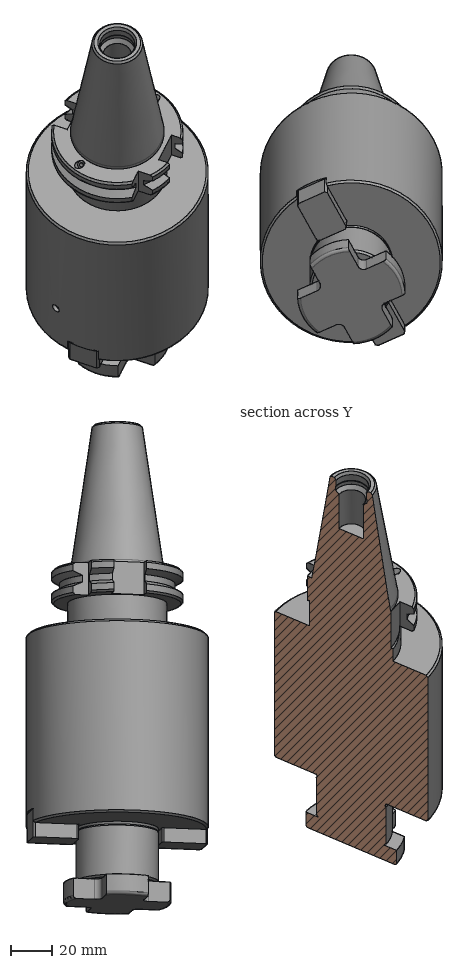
import cadquery as cq
import math


CUT_CLEARANCE = 1.0

TAPER_LENGTH = 68.4
GAUGE_RADIUS = 22.225
TAPER_RATIO = 7 / 24
TIP_RADIUS = GAUGE_RADIUS - TAPER_LENGTH * TAPER_RATIO / 2
TIP_CHAMFER = 1.0
TAPER_BASE_Z = -1.6
TAPER_BASE_RADIUS = GAUGE_RADIUS - TAPER_BASE_Z * TAPER_RATIO / 2
COLLAR_RADIUS = 22.7

FLANGE_TOP = -3.2
FLANGE_BOTTOM = -19.1
FLANGE_RADIUS = 31.775
FLANGE_CHAMFER = 1.0
GROOVE_Z = -11.1
GROOVE_RADIUS = 28.0
GROOVE_FLOOR_WIDTH = 3.2
GROOVE_FLANK_HEIGHT = (FLANGE_RADIUS - GROOVE_RADIUS) * math.tan(math.radians(30))
NECK_RADIUS = 24.0

SLOT_WIDTH = 16.1
SLOT_END_Z = -27.0
LEFT_SLOT_X = -22.8
RIGHT_SLOT_X = 25.0
NOTCH_X = 18.5
NOTCH_Y = -18.2

BODY_TOP = -35.0
BODY_BOTTOM = -130.0
BODY_RADIUS = 44.0
BODY_TOP_CHAMFER = 1.0
BODY_BOTTOM_CHAMFER = 1.0

PILOT_RADIUS = 20.0
PILOT_END = -157.0
PILOT_CHAMFER = 1.0
RELIEF_RADIUS = 19.5
RELIEF_FLOOR_DEPTH = 1.2
RELIEF_WIDTH = 1.9

KEY_WIDTH = 16.0
KEY_TOP = -123.0
KEY_BOTTOM = -137.0
KEY_INNER_Y = 20.5
KEY_OUTER_Y = 43.0
KEY_CHAMFER = 1.0

HEAD_BOTTOM = -167.0
HEAD_RADIUS = 26.0
HEAD_ROUNDING = 1.5
ARM_WIDTH = 20.6
ARM_CORNER_RADIUS = 3.0

BORE_RADIUS = 8.5
BORE_DEPTH = 5.2
BORE_MOUTH_RADIUS = 9.4
BORE_MOUTH_DEPTH = 1.5
UNDERCUT_RADIUS = 8.8
UNDERCUT_TOP_DEPTH = 5.9
UNDERCUT_BOTTOM_DEPTH = 8.0
THREAD_RADIUS = 6.9
THREAD_CONE_HEIGHT = UNDERCUT_RADIUS - THREAD_RADIUS
THREAD_DEPTH = 32.0

FLANGE_HOLE_RADIUS = 2.0
FLANGE_HOLE_TILT = 42
FLANGE_HOLE_CIRCLE = 27.0
FLANGE_HOLE_ANGLES = (70, 250)
BODY_HOLE_RADIUS = 2.15
BODY_HOLE_ANGLE = 250
BODY_HOLE_Z = -102.2
HOLE_MOUTH_DEPTH = 2.0
HOLE_CORE_RADIUS = 1.0
HOLE_CORE_DEPTH = 8.0


def revolve_profile(points):
    """Solid of revolution about Z from (radius, z) points."""
    profile = cq.Workplane("YZ").polyline(points).close()
    return profile.revolve(360, (0, 0, 0), (0, 1, 0))


def block(x_range, y_range, z_range):
    """Axis-aligned box given by its limits along each axis."""
    sizes = [high - low for low, high in (x_range, y_range, z_range)]
    corner = (x_range[0], y_range[0], z_range[0])
    return cq.Workplane("XY").box(*sizes, centered=False).translate(corner)


def make_turned_body():
    groove_top = GROOVE_Z + GROOVE_FLOOR_WIDTH / 2
    groove_bottom = GROOVE_Z - GROOVE_FLOOR_WIDTH / 2
    taper_and_flange = [
        (0, TAPER_LENGTH),
        (TIP_RADIUS - TIP_CHAMFER, TAPER_LENGTH),
        (TIP_RADIUS, TAPER_LENGTH - TIP_CHAMFER),
        (TAPER_BASE_RADIUS, TAPER_BASE_Z),
        (COLLAR_RADIUS, FLANGE_TOP),
        (FLANGE_RADIUS - FLANGE_CHAMFER, FLANGE_TOP),
        (FLANGE_RADIUS, FLANGE_TOP - FLANGE_CHAMFER),
        (FLANGE_RADIUS, groove_top + GROOVE_FLANK_HEIGHT),
        (GROOVE_RADIUS, groove_top),
        (GROOVE_RADIUS, groove_bottom),
        (FLANGE_RADIUS, groove_bottom - GROOVE_FLANK_HEIGHT),
        (FLANGE_RADIUS, FLANGE_BOTTOM + FLANGE_CHAMFER),
        (FLANGE_RADIUS - FLANGE_CHAMFER, FLANGE_BOTTOM),
        (NECK_RADIUS, FLANGE_BOTTOM),
    ]
    body_and_pilot = [
        (NECK_RADIUS, BODY_TOP),
        (BODY_RADIUS - BODY_TOP_CHAMFER, BODY_TOP),
        (BODY_RADIUS, BODY_TOP - BODY_TOP_CHAMFER),
        (BODY_RADIUS, BODY_BOTTOM + BODY_BOTTOM_CHAMFER),
        (BODY_RADIUS - BODY_BOTTOM_CHAMFER, BODY_BOTTOM),
        (PILOT_RADIUS, BODY_BOTTOM),
        (RELIEF_RADIUS, BODY_BOTTOM - RELIEF_FLOOR_DEPTH),
        (PILOT_RADIUS, BODY_BOTTOM - RELIEF_WIDTH),
        (PILOT_RADIUS, PILOT_END + PILOT_CHAMFER),
        (PILOT_RADIUS - PILOT_CHAMFER, PILOT_END),
        (0, PILOT_END),
    ]
    return revolve_profile(taper_and_flange + body_and_pilot)


def make_drive_slot(floor_x):
    """Round-ended slot cutter, from the floor at floor_x outward past the flange."""
    depth = FLANGE_RADIUS + CUT_CLEARANCE - abs(floor_x)
    half_width = SLOT_WIDTH / 2
    arc_z = SLOT_END_Z + half_width
    outline = (
        cq.Workplane("YZ", origin=(floor_x, 0, 0))
        .moveTo(-half_width, FLANGE_TOP)
        .lineTo(-half_width, arc_z)
        .threePointArc((0, SLOT_END_Z), (half_width, arc_z))
        .lineTo(half_width, FLANGE_TOP)
        .close()
    )
    return outline.extrude(math.copysign(depth, floor_x))


def make_orientation_notch():
    """Corner cut through the full height of the flange at +X, -Y."""
    reach = FLANGE_RADIUS + CUT_CLEARANCE
    return block((NOTCH_X, reach), (-reach, NOTCH_Y), (FLANGE_BOTTOM, FLANGE_TOP))


def make_key_seat():
    """Seat for the -Y drive key, open to the body's rim and lower face."""
    half_width = KEY_WIDTH / 2
    y_range = (-BODY_RADIUS - CUT_CLEARANCE, -KEY_INNER_Y)
    return block((-half_width, half_width), y_range, (BODY_BOTTOM, KEY_TOP))


def make_key():
    """Drive key on the -Y side, with its upright edges chamfered."""
    half_width = KEY_WIDTH / 2
    key = block((-half_width, half_width), (-KEY_OUTER_Y, -KEY_INNER_Y), (KEY_BOTTOM, KEY_TOP))
    return key.edges("|Z").chamfer(KEY_CHAMFER)


def make_screw_head():
    """Cross-shaped head: a disc with a rounded lower rim, trimmed to two crossing arms."""
    height = PILOT_END - HEAD_BOTTOM
    base = cq.Workplane("XY", origin=(0, 0, HEAD_BOTTOM))
    disc = base.circle(HEAD_RADIUS).extrude(height).faces("<Z").edges().fillet(HEAD_ROUNDING)
    arm_length = 2 * (HEAD_RADIUS + CUT_CLEARANCE)
    cross = base.rect(arm_length, ARM_WIDTH).extrude(height)
    cross = cross.union(base.rect(ARM_WIDTH, arm_length).extrude(height))
    inner_corners = cq.selectors.BoxSelector(
        (-ARM_WIDTH, -ARM_WIDTH, HEAD_BOTTOM), (ARM_WIDTH, ARM_WIDTH, PILOT_END)
    )
    cross = cross.edges("|Z").edges(inner_corners).fillet(ARM_CORNER_RADIUS)
    return disc.intersect(cross)


def make_pull_stud_bore():
    """Countersunk bore with an undercut, narrowing through a 45 degree cone to the thread hole."""
    radii_and_depths = [
        (0, 0),
        (BORE_MOUTH_RADIUS, 0),
        (BORE_RADIUS, BORE_MOUTH_DEPTH),
        (BORE_RADIUS, BORE_DEPTH),
        (UNDERCUT_RADIUS, UNDERCUT_TOP_DEPTH),
        (UNDERCUT_RADIUS, UNDERCUT_BOTTOM_DEPTH),
        (THREAD_RADIUS, UNDERCUT_BOTTOM_DEPTH + THREAD_CONE_HEIGHT),
        (THREAD_RADIUS, THREAD_DEPTH),
        (0, THREAD_DEPTH),
    ]
    return revolve_profile([(radius, TAPER_LENGTH - depth) for radius, depth in radii_and_depths])


def make_stepped_hole(mouth_radius):
    """Stepped cutter going down from Z = 0, with extra length above Z = 0 to clear the surface."""
    clearance = 2 * mouth_radius
    return revolve_profile([
        (0, clearance),
        (mouth_radius, clearance),
        (mouth_radius, -HOLE_MOUTH_DEPTH),
        (HOLE_CORE_RADIUS, -HOLE_MOUTH_DEPTH),
        (HOLE_CORE_RADIUS, -HOLE_CORE_DEPTH),
        (0, -HOLE_CORE_DEPTH),
    ])


def make_flange_hole(angle):
    """Hole in the flange's upper face, sloping down towards the spindle axis."""
    hole = make_stepped_hole(FLANGE_HOLE_RADIUS)
    tilted = hole.rotate((0, 0, 0), (0, 1, 0), FLANGE_HOLE_TILT)
    placed = tilted.translate((FLANGE_HOLE_CIRCLE, 0, FLANGE_TOP))
    return placed.rotate((0, 0, 0), (0, 0, 1), angle)


def make_body_hole():
    """Radial hole in the side of the body."""
    hole = make_stepped_hole(BODY_HOLE_RADIUS)
    radial_hole = hole.rotate((0, 0, 0), (0, 1, 0), 90)
    placed = radial_hole.translate((BODY_RADIUS, 0, BODY_HOLE_Z))
    return placed.rotate((0, 0, 0), (0, 0, 1), BODY_HOLE_ANGLE)


def mirrored_pair(shape):
    """The shape together with its copy half a turn round the Z axis."""
    return [shape, shape.rotate((0, 0, 0), (0, 0, 1), 180)]


part = make_turned_body()
for slot_floor in (LEFT_SLOT_X, RIGHT_SLOT_X):
    part = part.cut(make_drive_slot(slot_floor))
part = part.cut(make_orientation_notch())
for seat in mirrored_pair(make_key_seat()):
    part = part.cut(seat)
for key in mirrored_pair(make_key()):
    part = part.union(key)
part = part.union(make_screw_head())
part = part.cut(make_pull_stud_bore())
for hole_angle in FLANGE_HOLE_ANGLES:
    part = part.cut(make_flange_hole(hole_angle))
part = part.cut(make_body_hole())

result = part